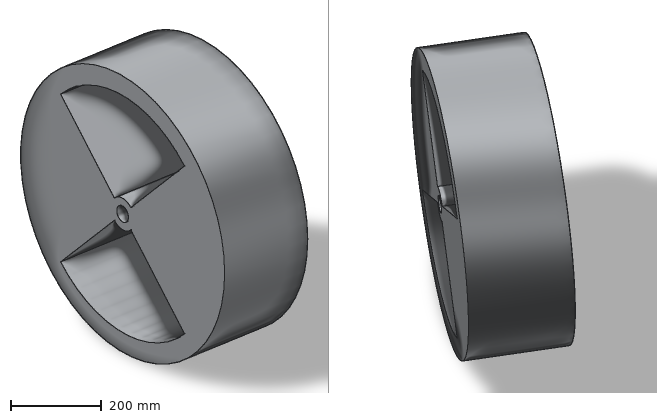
import cadquery as cq
import math

wheel_diameter = 700.0
wheel_width = 240.0
rim_thickness = 50.0
hub_diameter = 80.0
bore_diameter = 40.0
window_half_angle = 45.0

wheel_radius = wheel_diameter / 2
window_radius = wheel_radius - rim_thickness
hub_radius = hub_diameter / 2


def polar_point(radius, angle_from_vertical):
    """Point on a circle about the wheel axis."""
    angle = math.radians(angle_from_vertical)
    return (radius * math.sin(angle), radius * math.cos(angle))


def make_window(direction):
    """Sector-shaped opening between hub and rim, centred on an angle from vertical."""
    start = direction - window_half_angle
    end = direction + window_half_angle
    return (
        cq.Workplane("XZ")
        .moveTo(*polar_point(hub_radius, start))
        .lineTo(*polar_point(window_radius, start))
        .threePointArc(polar_point(window_radius, direction), polar_point(window_radius, end))
        .lineTo(*polar_point(hub_radius, end))
        .threePointArc(polar_point(hub_radius, direction), polar_point(hub_radius, start))
        .close()
        .extrude(wheel_width)
    )


result = (
    cq.Workplane("XZ")
    .circle(wheel_radius)
    .circle(bore_diameter / 2)
    .extrude(wheel_width)
)

for window_direction in (0, 180):
    result = result.cut(make_window(window_direction))